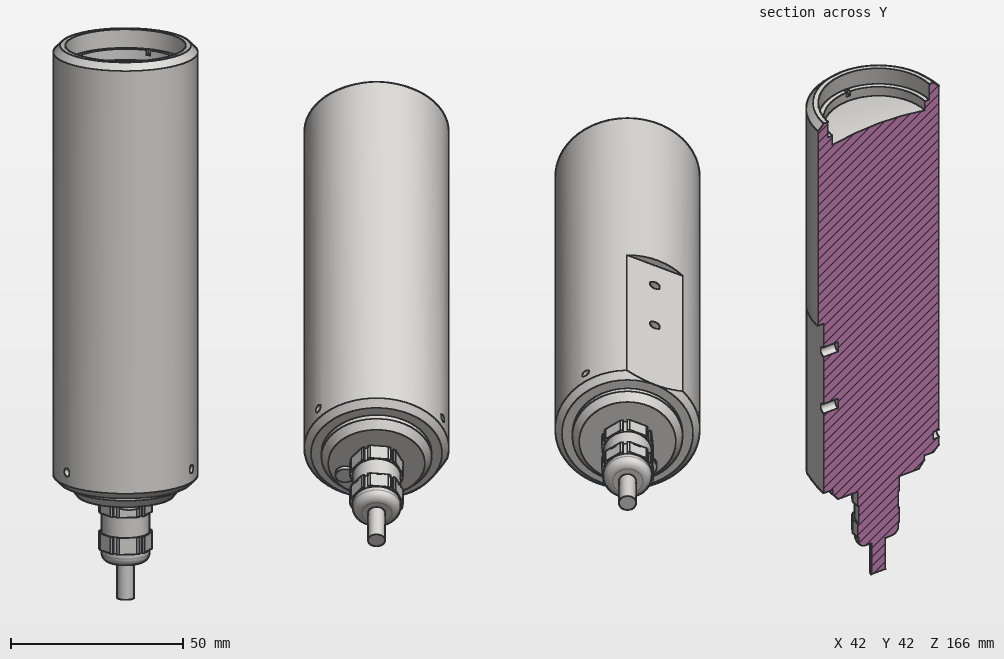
import cadquery as cq
import math


HOUSING_DIAMETER = 42.0
HOUSING_LENGTH = 131.0
HOUSING_CHAMFER = 2.0

RECESS_DIAMETER = 34.96
RECESS_DEPTH = 5.5
LENS_DIAMETER = 32.0
LENS_EDGE_DEPTH = 8.7
LENS_RISE = 1.5
NOTCH_WIDTH = 1.2
NOTCH_DEPTH = 1.5
LEDGE_HEIGHT = HOUSING_LENGTH - RECESS_DEPTH
LENS_EDGE_HEIGHT = HOUSING_LENGTH - LENS_EDGE_DEPTH

FLAT_LENGTH = 60.0
FLAT_DISTANCE = 19.02
FLAT_ANGLE = 180.0
MOUNTING_HOLE_DIAMETER = 3.24
MOUNTING_HOLE_DEPTH = 5.0
MOUNTING_HOLE_HEIGHTS = (30.0, 50.0)

SET_SCREW_HOLE_DIAMETER = 2.46
SET_SCREW_HOLE_DEPTH = 2.0
SET_SCREW_HEIGHT = 6.0
SET_SCREW_COUNT = 3

CAP_DIAMETER = 32.0
CAP_RIM_HEIGHT = 1.5
CAP_CONE_HEIGHT = 2.5
CAP_END_DIAMETER = 28.0
CAP_HEIGHT = CAP_RIM_HEIGHT + CAP_CONE_HEIGHT

PAD_DIAMETER = 5.5
PAD_HEIGHT = 1.2
PAD_CIRCLE_RADIUS = 10.0
PAD_ANGLE = -60.0

GLAND_DIAMETER = 14.0
GLAND_LENGTH = 20.0
GLAND_END_RADIUS = 2.6
NUT_HEIGHT = 5.0
NUT_TOPS = (-CAP_HEIGHT, -CAP_HEIGHT - 11.1)
NUT_SIDES = 6
NUT_DIAMETER = 15.4
NUT_FLAT_DISTANCE = 14.5
NUT_GROOVE_WIDTH = 1.2

CABLE_DIAMETER = 5.0
TOTAL_LENGTH = 166.0
CABLE_END = HOUSING_LENGTH - TOTAL_LENGTH


def make_housing():
    body = cq.Workplane("XY").circle(HOUSING_DIAMETER / 2).extrude(HOUSING_LENGTH)
    return body.faces("<Z or >Z").chamfer(HOUSING_CHAMFER)


def make_lens_recess():
    """Stepped recess, with a narrow notch in the ledge on the +Y side."""
    recess = (
        cq.Workplane("XY", origin=(0, 0, LEDGE_HEIGHT))
        .circle(RECESS_DIAMETER / 2)
        .extrude(RECESS_DEPTH)
    )
    lens_seat = (
        cq.Workplane("XY", origin=(0, 0, LENS_EDGE_HEIGHT))
        .circle(LENS_DIAMETER / 2)
        .extrude(LENS_EDGE_DEPTH)
    )
    notch = (
        cq.Workplane("XZ", origin=(0, RECESS_DIAMETER / 2, LEDGE_HEIGHT - NOTCH_DEPTH / 2))
        .rect(NOTCH_WIDTH, NOTCH_DEPTH)
        .extrude(LENS_DIAMETER / 2)
    )
    return recess.union(lens_seat).union(notch)


def make_lens():
    """Shallow spherical dome standing on the recess floor."""
    lens_radius = LENS_DIAMETER / 2
    sphere_radius = (lens_radius**2 + LENS_RISE**2) / (2 * LENS_RISE)
    sphere_center = LENS_EDGE_HEIGHT + LENS_RISE - sphere_radius
    sphere = (
        cq.Workplane("XY")
        .sphere(sphere_radius)
        .rotate((0, 0, 0), (1, 0, 0), 90)
        .translate((0, 0, sphere_center))
    )
    blank = (
        cq.Workplane("XY", origin=(0, 0, LENS_EDGE_HEIGHT - LENS_RISE))
        .circle(lens_radius)
        .extrude(2 * LENS_RISE)
    )
    return blank.intersect(sphere)


def make_flat_cut():
    depth = HOUSING_DIAMETER / 2 - FLAT_DISTANCE
    return (
        cq.Workplane("XY")
        .box(depth, HOUSING_DIAMETER, FLAT_LENGTH, centered=(False, True, False))
        .translate((-HOUSING_DIAMETER / 2, 0, 0))
    )


def make_radial_hole(diameter, surface_distance, depth, height, angle):
    """Blind hole pointing at the axis, opening at the given distance and angle from +X."""
    return (
        cq.Workplane("YZ", origin=(surface_distance - depth, 0, height))
        .circle(diameter / 2)
        .extrude(HOUSING_DIAMETER / 2 - surface_distance + depth)
        .rotate((0, 0, 0), (0, 0, 1), angle)
    )


def make_end_cap():
    cap = (
        cq.Workplane("XZ")
        .lineTo(CAP_DIAMETER / 2, 0)
        .lineTo(CAP_DIAMETER / 2, -CAP_RIM_HEIGHT)
        .lineTo(CAP_END_DIAMETER / 2, -CAP_HEIGHT)
        .lineTo(0, -CAP_HEIGHT)
        .close()
        .revolve(360, (0, 0, 0), (0, 1, 0))
    )
    pad_angle = math.radians(PAD_ANGLE)
    pad = (
        cq.Workplane("XY")
        .center(PAD_CIRCLE_RADIUS * math.cos(pad_angle), PAD_CIRCLE_RADIUS * math.sin(pad_angle))
        .circle(PAD_DIAMETER / 2)
        .extrude(-CAP_HEIGHT - PAD_HEIGHT)
    )
    return cap.union(pad)


def make_nut(top):
    """Hexagon with rounded corners and a narrow groove along each corner."""
    hexagon_corner_diameter = NUT_FLAT_DISTANCE / math.cos(math.pi / NUT_SIDES)
    plane = cq.Workplane("XY", origin=(0, 0, top))
    half_side_angle = 180 / NUT_SIDES
    hexagon = (
        plane.polygon(NUT_SIDES, hexagon_corner_diameter)
        .extrude(-NUT_HEIGHT)
        .rotate((0, 0, 0), (0, 0, 1), half_side_angle)
    )
    grooves = (
        plane.polarArray(NUT_DIAMETER / 2, half_side_angle, 360, NUT_SIDES)
        .rect(NUT_DIAMETER - GLAND_DIAMETER, NUT_GROOVE_WIDTH)
        .extrude(-NUT_HEIGHT)
    )
    return plane.circle(NUT_DIAMETER / 2).extrude(-NUT_HEIGHT).intersect(hexagon).cut(grooves)


def make_gland():
    gland = (
        cq.Workplane("XY", origin=(0, 0, -CAP_HEIGHT))
        .circle(GLAND_DIAMETER / 2)
        .extrude(-GLAND_LENGTH)
        .faces("<Z")
        .edges()
        .fillet(GLAND_END_RADIUS)
    )
    for top in NUT_TOPS:
        gland = gland.union(make_nut(top))
    return gland


def make_cable():
    return cq.Workplane("XY").circle(CABLE_DIAMETER / 2).extrude(CABLE_END)


result = make_housing().cut(make_lens_recess()).union(make_lens()).cut(make_flat_cut())

for hole_height in MOUNTING_HOLE_HEIGHTS:
    result = result.cut(
        make_radial_hole(
            MOUNTING_HOLE_DIAMETER,
            FLAT_DISTANCE,
            MOUNTING_HOLE_DEPTH,
            hole_height,
            FLAT_ANGLE,
        )
    )

for screw in range(SET_SCREW_COUNT):
    screw_angle = screw * 360 / SET_SCREW_COUNT
    result = result.cut(
        make_radial_hole(
            SET_SCREW_HOLE_DIAMETER,
            HOUSING_DIAMETER / 2,
            SET_SCREW_HOLE_DEPTH,
            SET_SCREW_HEIGHT,
            screw_angle,
        )
    )

result = result.union(make_end_cap()).union(make_gland()).union(make_cable())